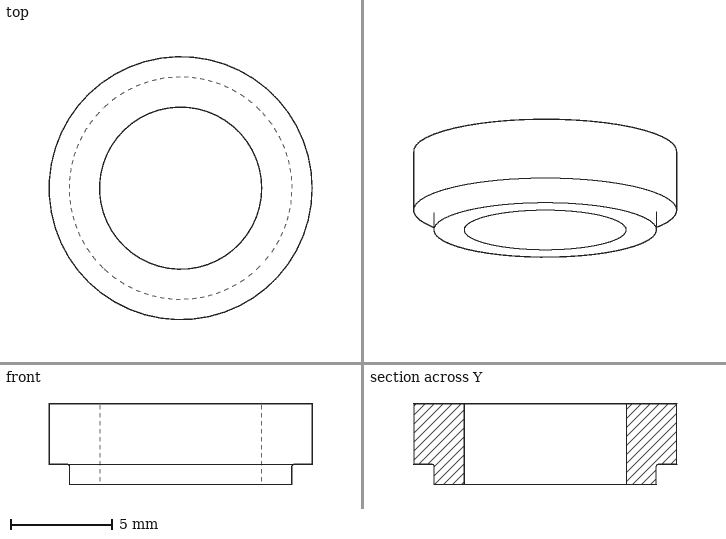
import cadquery as cq

outer_diameter = 13.0
step_diameter = 11.0
bore_diameter = 8.0
total_height = 4.0
step_height = 1.0
corner_fillet = 0.1

outer_radius = outer_diameter / 2
step_radius = step_diameter / 2
bore_radius = bore_diameter / 2

section = (
    cq.Workplane("XZ")
    .moveTo(bore_radius, 0)
    .lineTo(step_radius, 0)
    .lineTo(step_radius, step_height - corner_fillet)
    .radiusArc((step_radius + corner_fillet, step_height), corner_fillet)
    .lineTo(outer_radius, step_height)
    .lineTo(outer_radius, total_height)
    .lineTo(bore_radius, total_height)
    .close()
)

result = section.revolve(360, (0, 0, 0), (0, 1, 0))